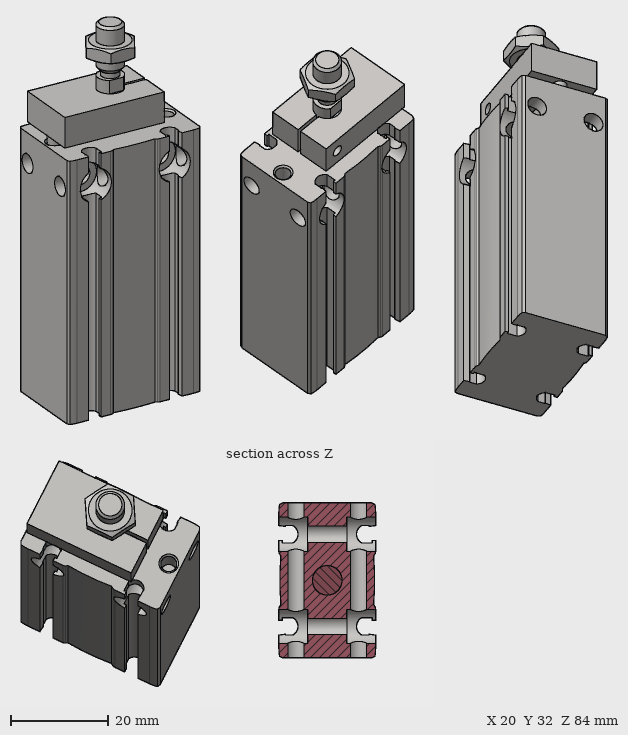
import cadquery as cq
import math

width = 20.0
depth = 32.0
total_height = 84.0
housing_height = 60.0

half_width = width / 2
half_depth = depth / 2

corner_length = 2.0
corner_width = 0.8
corner_knee_x = 0.2
corner_knee_y = 0.3

port_y = 9.5
slot_width = 3.5
slot_floor_diameter = 4.0
slot_depth = 3.95
barb_depth = 1.35
barb_height = 0.2
inner_lip_y = 8.2
inner_lip_depth = 0.75

panel_edge_y = 6.0
ramp_outer_y = 5.5
ramp_outer_depth = 0.13
ramp_inner_y = 4.95
ramp_inner_depth = 0.4
panel_crown_depth = 0.21

mount_hole_drop = 7.0
cross_hole_diameter = 4.3
counterbore_diameter = 7.5
counterbore_depth = 6.0
end_hole_diameter = cross_hole_diameter
end_hole_x = 6.5

tapped_hole_diameter = 3.3
tapped_hole_y = 13.4
tapped_hole_depth = 6.7
countersink_diameter = 4.0

rod_diameter = 6.0
rod_insertion = 16.8
flats_width = 4.95
flats_height = 3.0
neck_diameter = 4.0
neck_height = 1.2
thread_root_diameter = 4.3
thread_lead_height = 1.0
rod_tip_chamfer = 0.6

pin_diameter = 3.0
pin_y = -tapped_hole_y
pin_insertion = 4.2

plate_gap = 2.0
plate_width = 14.95
plate_height = 7.0
plate_front_y = -15.45
plate_back_y = 8.5
slit_width = 0.7
clamp_hole_diameter = 2.4
clamp_hole_y = 5.0

nut_width = 10.0
nut_height = 3.3
nut_top_drop = 4.1
nut_face_diameter = 9.0
nut_corner_drop = 0.5

mount_hole_z = housing_height - mount_hole_drop
plate_bottom = housing_height + plate_gap
plate_top = plate_bottom + plate_height
flats_top = plate_top + flats_height
neck_top = flats_top + neck_height
rod_bottom = housing_height - rod_insertion
pin_bottom = housing_height - pin_insertion
nut_bottom = total_height - nut_top_drop - nut_height


def upright_cylinder(diameter, bottom, top, y=0.0):
    """Upright cylinder on the X = 0 plane."""
    return cq.Workplane("XY", origin=(0, y, bottom)).circle(diameter / 2).extrude(top - bottom)


def x_cylinder(diameter, y, z, x_start, x_end):
    """Cylinder lying along X."""
    return cq.Workplane("YZ", origin=(x_start, y, z)).circle(diameter / 2).extrude(x_end - x_start)


def make_body():
    """Rectangular block with softened vertical corners."""
    side_mid = (corner_knee_x / 4, (corner_length + corner_knee_y) / 2)
    corner = (
        cq.Workplane("XY")
        .lineTo(0, corner_length)
        .threePointArc(side_mid, (corner_knee_x, corner_knee_y))
        .lineTo(corner_width, 0)
        .close()
        .extrude(housing_height)
        .translate((-half_width, -half_depth, 0))
    )
    body = cq.Workplane("XY").box(width, depth, housing_height, centered=(True, True, False))
    return cut_on_four_corners(body, corner)


def cut_on_four_corners(body, cutter):
    """Cut a shape and its mirror images about X = 0 and Y = 0."""
    for end_cutter in (cutter, cutter.mirror("XZ")):
        body = body.cut(end_cutter).cut(end_cutter.mirror("YZ"))
    return body


def make_slot():
    """Lipped slot with a round floor, in the -X side near the +Y end."""
    floor_radius = slot_floor_diameter / 2
    half_slot = slot_width / 2
    wall_depth = slot_depth - floor_radius + math.sqrt(floor_radius**2 - half_slot**2)
    inner_wall_y = port_y - half_slot
    outer_wall_y = port_y + half_slot
    return (
        cq.Workplane("XY", origin=(-half_width, 0, 0))
        .moveTo(0, inner_lip_y)
        .lineTo(inner_lip_depth, inner_lip_y)
        .lineTo(inner_lip_depth, inner_wall_y)
        .lineTo(wall_depth, inner_wall_y)
        .threePointArc((slot_depth, port_y), (wall_depth, outer_wall_y))
        .lineTo(barb_depth, outer_wall_y)
        .lineTo(barb_depth, outer_wall_y - barb_height)
        .lineTo(0, outer_wall_y)
        .close()
        .extrude(housing_height)
    )


def make_side_panel():
    """Shallow recess in the -X side whose floor is slightly crowned."""
    round_y = (panel_edge_y + ramp_outer_y) / 2
    round_depth = ramp_outer_depth / 4
    return (
        cq.Workplane("XY", origin=(-half_width, 0, 0))
        .moveTo(0, -panel_edge_y)
        .threePointArc((round_depth, -round_y), (ramp_outer_depth, -ramp_outer_y))
        .lineTo(ramp_inner_depth, -ramp_inner_y)
        .threePointArc((panel_crown_depth, 0), (ramp_inner_depth, ramp_inner_y))
        .lineTo(ramp_outer_depth, ramp_outer_y)
        .threePointArc((round_depth, round_y), (0, panel_edge_y))
        .close()
        .extrude(housing_height)
    )


def cut_mounting_holes(body):
    """Counterbored holes along X and plain holes along Y, all through."""
    for y in (-port_y, port_y):
        body = body.cut(x_cylinder(cross_hole_diameter, y, mount_hole_z, -half_width, half_width))
        for side in (-1, 1):
            body = body.cut(
                x_cylinder(
                    counterbore_diameter, y, mount_hole_z,
                    side * half_width, side * (half_width - counterbore_depth),
                )
            )
    end_holes = (
        cq.Workplane("XZ", origin=(0, half_depth, mount_hole_z))
        .pushPoints([(-end_hole_x, 0), (end_hole_x, 0)])
        .circle(end_hole_diameter / 2)
        .extrude(depth)
    )
    return body.cut(end_holes)


def countersunk_hole(diameter, y, bottom):
    """Blind hole from the housing top with a 45 degree countersink."""
    sink_depth = (countersink_diameter - diameter) / 2
    hole = upright_cylinder(diameter, bottom, housing_height, y)
    sink = cq.Solid.makeCone(
        diameter / 2, countersink_diameter / 2, sink_depth,
        pnt=cq.Vector(0, y, housing_height - sink_depth),
    )
    return hole.union(cq.Workplane(sink))


def make_housing():
    body = cut_on_four_corners(make_body(), make_slot())
    panel = make_side_panel()
    body = body.cut(panel).cut(panel.mirror("YZ"))
    body = cut_mounting_holes(body)
    tapped_hole_bottom = housing_height - tapped_hole_depth
    body = body.cut(countersunk_hole(tapped_hole_diameter, tapped_hole_y, tapped_hole_bottom))
    body = body.cut(countersunk_hole(pin_diameter, pin_y, pin_bottom))
    return body.cut(upright_cylinder(rod_diameter, rod_bottom, housing_height))


def make_piston_rod():
    """Turned rod: shank, wrench flats, neck and threaded tip."""
    radius = rod_diameter / 2
    thread_bottom = neck_top + thread_lead_height
    rod = (
        cq.Workplane("XZ")
        .moveTo(0, rod_bottom)
        .lineTo(radius, rod_bottom)
        .lineTo(radius, flats_top)
        .lineTo(neck_diameter / 2, flats_top)
        .lineTo(neck_diameter / 2, neck_top)
        .lineTo(thread_root_diameter / 2, neck_top)
        .lineTo(radius, thread_bottom)
        .lineTo(radius, total_height - rod_tip_chamfer)
        .lineTo(radius - rod_tip_chamfer, total_height)
        .lineTo(0, total_height)
        .close()
        .revolve(360, (0, 0, 0), (0, 1, 0))
    )
    flat_depth = (rod_diameter - flats_width) / 2
    for side in (-1, 1):
        flat = cq.Workplane("XY", origin=(side * (flats_width + flat_depth) / 2, 0, plate_top)).box(
            flat_depth, rod_diameter, flats_height, centered=(True, True, False)
        )
        rod = rod.cut(flat)
    return rod


def make_guide_pin():
    """Plain pin from the housing up to the underside of the plate."""
    return upright_cylinder(pin_diameter, pin_bottom, plate_bottom, pin_y)


def make_plate():
    """Rod-end plate, slit at the back to clamp the piston rod."""
    length = plate_back_y - plate_front_y
    plate = cq.Workplane("XY", origin=(0, plate_front_y + length / 2, plate_bottom)).box(
        plate_width, length, plate_height, centered=(True, True, False)
    )
    slit = cq.Workplane("XY", origin=(0, plate_back_y / 2, plate_bottom)).box(
        slit_width, plate_back_y, plate_height, centered=(True, True, False)
    )
    clamp_hole = x_cylinder(
        clamp_hole_diameter, clamp_hole_y, plate_bottom + plate_height / 2, -plate_width / 2, 0
    )
    rod_bore = upright_cylinder(rod_diameter, plate_bottom, plate_top)
    return plate.cut(slit).cut(clamp_hole).cut(rod_bore)


def make_nut():
    """Hexagon nut with two opposite flats facing X, chamfered on both faces."""
    corner_radius = nut_width / math.sqrt(3)
    face_radius = nut_face_diameter / 2
    hexagon = (
        cq.Workplane("XY", origin=(0, 0, nut_bottom))
        .transformed(rotate=(0, 0, 90))
        .polygon(6, 2 * corner_radius)
        .extrude(nut_height)
    )
    chamfered_disc = (
        cq.Workplane("XZ", origin=(0, 0, nut_bottom))
        .lineTo(face_radius, 0)
        .lineTo(corner_radius, nut_corner_drop)
        .lineTo(corner_radius, nut_height - nut_corner_drop)
        .lineTo(face_radius, nut_height)
        .lineTo(0, nut_height)
        .close()
        .revolve(360, (0, 0, 0), (0, 1, 0))
    )
    thread_bore = upright_cylinder(rod_diameter, nut_bottom, nut_bottom + nut_height)
    return hexagon.intersect(chamfered_disc).cut(thread_bore)


housing = make_housing()
piston_rod = make_piston_rod()
guide_pin = make_guide_pin()
plate = make_plate()
nut = make_nut()

result = cq.Compound.makeCompound(
    [housing.val(), piston_rod.val(), guide_pin.val(), plate.val(), nut.val()]
)